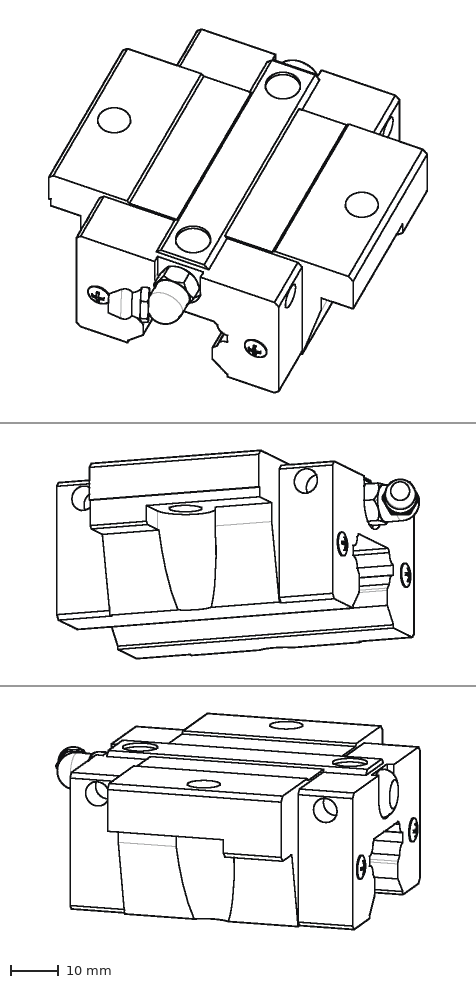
import cadquery as cq
import math


height = 30.5
width = 70.0
block_length = 38.2
edge_chamfer = 1.1
flange_bottom = 16.5
body_top_half = 27.6
body_foot_half = 23.3
reference_step = 0.45
reference_step_z = 22.5

groove_floor = 30.0
pad_inner_half = 16.95
ridge_top_half = 4.95

hole_x = 28.5
hole_radius = 3.4
relief_radius = 6.4
relief_top = 20.45

ceiling_z = 16.5
ceiling_half = 8.3
opening_half = 11.45
lobe_radius = 2.3
lobe_offset = 3.35
rail_axis_z = 12.4
lip_half = 7.9
lip_round = 0.8
lip_bottom = 4.2
foot_z = 0.7

cap_end = 31.1
cap_half = 23.3
cap_top = 29.45
plate_thickness = 2.6
cap_chamfer = 1.0
cap_ridge_end = cap_end - plate_thickness
cap_dimple_y = 23.1
cap_dimple_radius = 3.7
cap_dimple_depth = 0.8
side_hole_y = 25.1
side_hole_z = 25.5
side_hole_radius = 2.6
side_hole_depth = 6.9

port_z = 24.35
recess_half = 5.3
recess_depth = 1.5
recess_floor = cap_end - recess_depth
plug_radius = 5.0
plug_rim = 0.2
plug_top_radius = 3.05
plug_end = 32.8

hex_flats = 8.0
hex_length = 4.05
hex_chamfer = 0.6
elbow_radius = 3.9
elbow_y = -37.3
nipple_angle = 21.0
nipple_length = 12.0
nipple_tip_radius = 2.0
nut_flats = 6.7
nut_start = 3.5
nut_end = 5.2
nut_chamfer = 0.2
neck_end = 7.0
neck_radius = 2.45
neck_sag = 0.3
bulge_peak = 8.55
bulge_radius = 3.2
cone_start = 9.3
cone_start_radius = 3.05

screw_x = 18.0
screw_z = 12.5
screw_radius = 2.5
screw_height = 1.0
screw_rim = 0.2
cross_length = 2.75
cross_width = 0.5
cross_depth = 0.45


def along_y(profile, y_start, y_end):
    """Extrude a workplane "XZ" outline from y_start to y_end."""
    return profile.extrude(y_start - y_end).translate((0, y_start, 0))


def box(x_range, y_range, z_range):
    """Make a box from its limits along each axis."""
    size = [high - low for low, high in (x_range, y_range, z_range)]
    corner = (x_range[0], y_range[0], z_range[0])
    return cq.Workplane("XY").box(*size, centered=False).translate(corner)


def both_sides(solid, plane):
    """Join a solid with its mirror image."""
    return solid.union(solid.mirror(plane))


def make_block():
    half = width / 2
    ridge_base_half = ridge_top_half + height - groove_floor
    pad_foot_half = pad_inner_half - (height - groove_floor)
    right = [
        (ridge_top_half, height),
        (ridge_base_half, groove_floor),
        (pad_foot_half, groove_floor),
        (pad_inner_half, height),
        (half - edge_chamfer, height),
        (half, height - edge_chamfer),
        (half, flange_bottom + edge_chamfer),
        (half - edge_chamfer, flange_bottom),
        (body_top_half, flange_bottom),
        (body_foot_half, 0),
    ]
    left = [(-x, z) for x, z in reversed(right)]
    outline = cq.Workplane("XZ").polyline(right + left).close()
    front = -block_length / 2
    block = along_y(outline, front, -front)

    set_back = box((-half, reference_step - half), (front, -front), (0, reference_step_z))
    block = block.cut(set_back)

    for side in (-1, 1):
        hole = cq.Workplane("XY").center(side * hole_x, 0).circle(hole_radius).extrude(height)
        relief = cq.Workplane("XY").center(side * hole_x, 0).circle(relief_radius).extrude(relief_top)
        outer_x = sorted((side * hole_x, side * half))
        flange_x = sorted((side * body_top_half, side * half))
        outward = box(outer_x, (-relief_radius, relief_radius), (flange_bottom, relief_top))
        thinned = box(flange_x, (front, 0), (flange_bottom, relief_top))
        block = block.cut(hole).cut(relief).cut(outward).cut(thinned)
    return block


def make_cap():
    """End cap on the -Y side, running from the block to the outer plate."""
    inner = -block_length / 2
    cap = box((-cap_half, cap_half), (-cap_end, inner), (0, cap_top))
    cap = cap.edges("|Y").chamfer(cap_chamfer)

    ridge_base_half = ridge_top_half + height - cap_top
    ridge = (
        cq.Workplane("XZ")
        .polyline([
            (-ridge_base_half, cap_top),
            (-ridge_top_half, height),
            (ridge_top_half, height),
            (ridge_base_half, cap_top),
        ])
        .close()
    )
    cap = cap.union(along_y(ridge, -cap_ridge_end, inner))

    dimple = (
        cq.Workplane("XY", origin=(0, -cap_dimple_y, height))
        .circle(cap_dimple_radius)
        .extrude(-cap_dimple_depth)
    )
    side_hole = (
        cq.Workplane("YZ", origin=(-cap_half, -side_hole_y, side_hole_z))
        .circle(side_hole_radius)
        .extrude(side_hole_depth)
    )
    recess_round = along_y(
        cq.Workplane("XZ").center(0, port_z).circle(recess_half), -cap_end, -recess_floor
    )
    recess_slot = box((-recess_half, recess_half), (-cap_end, -recess_floor), (port_z, height))
    return cap.cut(dimple).cut(both_sides(side_hole, "YZ")).cut(recess_round).cut(recess_slot)


def make_rail_opening():
    upper_z = rail_axis_z + lobe_offset
    lower_z = rail_axis_z - lobe_offset
    lobe_half = opening_half - lobe_radius
    lip_top = lower_z - (lobe_half - lip_half)
    arc_mid = lobe_radius * math.sqrt(0.5)
    right_half = (
        cq.Workplane("XZ")
        .moveTo(0, ceiling_z)
        .lineTo(ceiling_half, ceiling_z)
        .lineTo(lobe_half, upper_z)
        .threePointArc((opening_half - arc_mid, upper_z - arc_mid), (opening_half, upper_z - lobe_radius))
        .lineTo(opening_half, lower_z + lobe_radius)
        .threePointArc((opening_half - arc_mid, lower_z + arc_mid), (lobe_half, lower_z))
        .lineTo(lip_half, lip_top)
        .lineTo(lip_half, lip_bottom)
        .lineTo(opening_half, foot_z)
        .lineTo(opening_half, 0)
        .lineTo(0, 0)
        .close()
    )
    opening = along_y(right_half, -cap_end, cap_end)
    lip_edge = cq.selectors.NearestToPointSelector((lip_half, 0, lip_top))
    opening = opening.edges(lip_edge).fillet(lip_round)
    return both_sides(opening, "YZ")


def make_screw():
    """Domed cross-slot screw head on the -Y plate, on the +X side."""
    dome_height = screw_height - screw_rim
    sphere_radius = (screw_radius**2 + dome_height**2) / (2 * dome_height)
    sphere_y = sphere_radius - screw_height - cap_end
    head = cq.Workplane("XY").sphere(sphere_radius).translate((screw_x, sphere_y, screw_z))
    outline = cq.Workplane("XZ").center(screw_x, screw_z).circle(screw_radius)
    head = head.intersect(along_y(outline, -cap_end - screw_height, -cap_end))

    slot_y = cross_depth - screw_height - cap_end
    for size in ((cross_length, cross_width), (cross_width, cross_length)):
        slot = cq.Workplane("XZ", origin=(screw_x, slot_y, screw_z)).rect(*size).extrude(screw_height)
        head = head.cut(slot)
    return head


def make_plug():
    """Domed plug in the recess of the +Y plate."""
    rim_y = recess_floor + plug_rim
    arc_share = math.sqrt(0.5)
    arc_mid = (
        plug_top_radius + (plug_radius - plug_top_radius) * arc_share,
        rim_y + (plug_end - rim_y) * arc_share,
    )
    return (
        cq.Workplane("XY")
        .moveTo(0, recess_floor)
        .lineTo(plug_radius, recess_floor)
        .lineTo(plug_radius, rim_y)
        .threePointArc(arc_mid, (plug_top_radius, plug_end))
        .lineTo(0, plug_end)
        .close()
        .revolve(360, (0, 0, 0), (0, 1, 0))
        .translate((0, 0, port_z))
    )


def make_hex(flats, length, chamfer):
    """Hexagon along -Y with corners on X and chamfered corners at both ends."""
    across_corners = flats / math.cos(math.radians(30))
    envelope = cq.Workplane("XZ").circle(across_corners / 2).extrude(length).edges().chamfer(chamfer)
    return cq.Workplane("XZ").polygon(6, across_corners).extrude(length).intersect(envelope)


def make_nipple():
    base = make_hex(hex_flats, hex_length, hex_chamfer).translate((0, -recess_floor, 0))
    stem = along_y(cq.Workplane("XZ").circle(elbow_radius), elbow_y, -recess_floor)
    elbow = cq.Workplane("XY").sphere(elbow_radius).translate((0, elbow_y, 0))

    nut = make_hex(nut_flats, nut_end - nut_start, nut_chamfer).translate((0, -nut_start, 0))
    flare_radius = nut_flats / 2
    neck_mid_radius = neck_radius + neck_sag * (flare_radius - neck_radius)
    neck_mid = (nut_end + neck_end) / 2
    head = (
        cq.Workplane("XY")
        .moveTo(0, -nut_start)
        .lineTo(flare_radius, -nut_start)
        .lineTo(flare_radius, -nut_end)
        .threePointArc((neck_mid_radius, -neck_mid), (neck_radius, -neck_end))
        .threePointArc((bulge_radius, -bulge_peak), (cone_start_radius, -cone_start))
        .lineTo(nipple_tip_radius, -nipple_length)
        .lineTo(0, -nipple_length)
        .close()
        .revolve(360, (0, 0, 0), (0, 1, 0))
    )
    spout = nut.union(head).rotate((0, 0, 0), (0, 0, 1), nipple_angle - 90)
    spout = spout.translate((0, elbow_y, 0))
    return base.union(stem).union(elbow).union(spout).translate((0, 0, port_z))


caps = both_sides(make_cap(), "XZ")
screws = both_sides(both_sides(make_screw(), "YZ"), "XZ")

result = (
    make_block()
    .union(caps)
    .cut(make_rail_opening())
    .union(screws)
    .union(make_plug())
    .union(make_nipple())
)